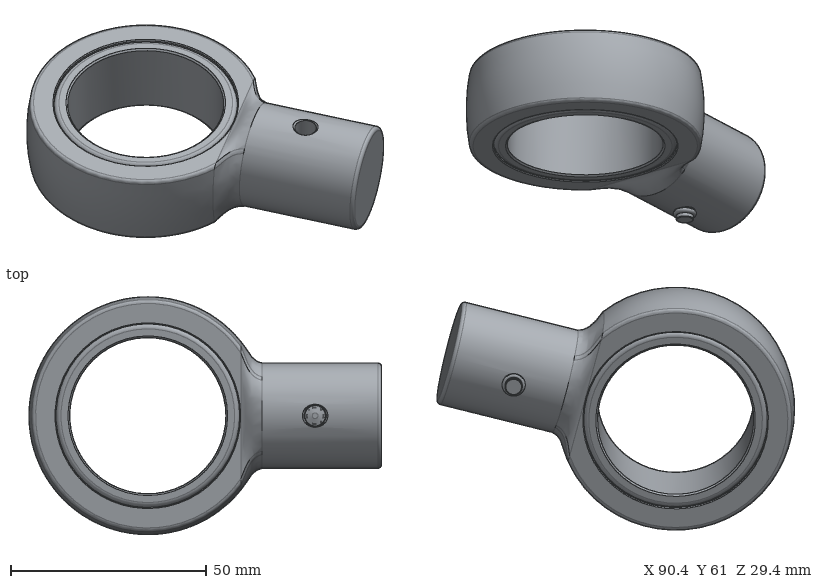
import cadquery as cq
import math

eye_width = 20.0
eye_diameter = 61.0
barrel_radius = 54.2
edge_round = 1.0
edge_line_z = 9.1
seat_diameter = 47.0
seat_chamfer = 0.3

shank_diameter = 27.0
overall_length = 90.4
neck_start = 23.9
neck_end = 29.3

neck_sections = [
    (11.5, 11.9, 13.3, 16.4),
    (12.8, 9.85, 10.85, 14.3),
]
corner_bulge = 0.1

bearing_bore = 40.0
bearing_round = 1.3
bearing_chamfer = 0.45

hole_x = 42.85
hole_diameter = 5.5
countersink_diameter = 6.5

nipple_shank_diameter = 5.2
nipple_shank_length = 5.4
nipple_tip_height = 0.45
nipple_tip_diameter = 1.45
collar_diameter = 6.0
collar_side_round = 0.7
collar_height = 1.4
head_diameter = 4.4
nipple_drop = 2.4
head_chamfer = 0.2

half_width = eye_width / 2
eye_radius = eye_diameter / 2
shank_end = overall_length - eye_radius
shank_radius = shank_diameter / 2
seat_radius = seat_diameter / 2
nipple_shoulder_z = nipple_shank_length - shank_radius

smallest_circles = cq.selectors.RadiusNthSelector(0)
largest_circles = cq.selectors.RadiusNthSelector(-1)


def barrel(z):
    """Radius of the barrel-shaped outer side of the eye at height z."""
    return eye_radius - barrel_radius + math.sqrt(barrel_radius**2 - z**2)


def make_eye():
    side_radius = barrel(half_width)
    profile = (
        cq.Workplane("XZ")
        .moveTo(seat_radius, -half_width)
        .lineTo(side_radius, -half_width)
        .threePointArc((eye_radius, 0), (side_radius, half_width))
        .lineTo(seat_radius, half_width)
        .close()
    )
    eye = profile.revolve(360, (0, 0, 0), (0, 1, 0))
    eye = eye.faces("|Z").edges(largest_circles).fillet(edge_round)
    eye = eye.faces("|Z").edges(smallest_circles).chamfer(seat_chamfer)
    beyond_cut = cq.Workplane("YZ", origin=(neck_start, 0, 0)).rect(2 * eye_radius, 2 * eye_width)
    return eye.cut(beyond_cut.extrude(eye_radius))


def on_circle(radius, height):
    """Half width of a circle of the given radius at the given height."""
    return math.sqrt(radius**2 - height**2)


def neck_section(x, top, face_half, edge_half, side):
    """Closed wire across X, symmetric in Y and Z: crown, corner and side arcs."""
    mean_y = (face_half + edge_half) / 2
    mean_z = (half_width + edge_line_z) / 2
    corner_y = mean_y + corner_bulge
    corner_z = mean_z + corner_bulge
    wire = cq.Workplane("YZ", origin=(x, 0, 0)).moveTo(-face_half, half_width)
    wire = wire.threePointArc((0, top), (face_half, half_width))
    wire = wire.threePointArc((corner_y, corner_z), (edge_half, edge_line_z))
    wire = wire.threePointArc((side, 0), (edge_half, -edge_line_z))
    wire = wire.threePointArc((corner_y, -corner_z), (face_half, -half_width))
    wire = wire.threePointArc((0, -top), (-face_half, -half_width))
    wire = wire.threePointArc((-corner_y, -corner_z), (-edge_half, -edge_line_z))
    wire = wire.threePointArc((-side, 0), (-edge_half, edge_line_z))
    wire = wire.threePointArc((-corner_y, corner_z), (-face_half, half_width))
    return wire.wire().val()


def make_neck(eye):
    """Smooth transition from the flat cut of the eye to the round shank."""
    cut_outline = eye.faces(">X").val().outerWire()
    step = (neck_end - neck_start) / (len(neck_sections) + 1)
    middle = [
        neck_section(neck_start + step * number, *sizes)
        for number, sizes in enumerate(neck_sections, start=1)
    ]
    end = neck_section(
        neck_end,
        shank_radius,
        on_circle(shank_radius, half_width),
        on_circle(shank_radius, edge_line_z),
        shank_radius,
    )
    return cq.Workplane(cq.Solid.makeLoft([cut_outline, *middle, end]))


def make_shank():
    shank = cq.Workplane("YZ", origin=(neck_end, 0, 0)).circle(shank_radius)
    return shank.extrude(shank_end - neck_end).faces(">X").edges().fillet(edge_round)


def make_cross_hole():
    """Hole along Z: countersunk at the top, and fitting the nipple at the bottom."""
    hole_radius = hole_diameter / 2
    sink_radius = countersink_diameter / 2
    fit_radius = nipple_shank_diameter / 2
    profile = (
        cq.Workplane("XZ", origin=(hole_x, 0, 0))
        .moveTo(0, -shank_radius)
        .lineTo(fit_radius, -shank_radius)
        .lineTo(fit_radius, nipple_shoulder_z)
        .lineTo(hole_radius, nipple_shoulder_z)
        .lineTo(hole_radius, shank_radius - (sink_radius - hole_radius))
        .lineTo(sink_radius, shank_radius)
        .lineTo(0, shank_radius)
        .close()
    )
    return profile.revolve(360, (0, 0, 0), (0, 1, 0))


def make_housing():
    eye = make_eye()
    body = eye.union(make_neck(eye)).union(make_shank())
    return body.cut(make_cross_hole())


def make_bearing_ring():
    bore_radius = bearing_bore / 2
    ring = cq.Workplane("XY", origin=(0, 0, -half_width)).circle(seat_radius).circle(bore_radius)
    ring = ring.extrude(eye_width)
    ring = ring.faces("|Z").edges(largest_circles).fillet(bearing_round)
    return ring.faces("|Z").edges(smallest_circles).chamfer(bearing_chamfer)


def make_nipple():
    """Grease nipple about Z: cone-tipped shank, rounded collar and short head."""
    fit_radius = nipple_shank_diameter / 2
    collar_radius = collar_diameter / 2
    head_radius = head_diameter / 2
    collar_top = -shank_radius
    collar_bottom = collar_top - collar_height
    bottom = collar_top - nipple_drop
    bulge_start = collar_radius - collar_side_round
    profile = (
        cq.Workplane("XZ", origin=(hole_x, 0, 0))
        .moveTo(0, bottom)
        .lineTo(head_radius - head_chamfer, bottom)
        .lineTo(head_radius, bottom + head_chamfer)
        .lineTo(head_radius, collar_bottom)
        .lineTo(bulge_start, collar_bottom)
        .threePointArc((collar_radius, collar_top - collar_height / 2), (bulge_start, collar_top))
        .lineTo(fit_radius, collar_top)
        .lineTo(fit_radius, nipple_shoulder_z)
        .lineTo(nipple_tip_diameter / 2, nipple_shoulder_z + nipple_tip_height)
        .lineTo(0, nipple_shoulder_z + nipple_tip_height)
        .close()
    )
    return profile.revolve(360, (0, 0, 0), (0, 1, 0))


housing = make_housing().solids().val()
bearing_ring = make_bearing_ring().solids().val()
nipple = make_nipple().solids().val()
result = cq.Compound.makeCompound([housing, bearing_ring, nipple])